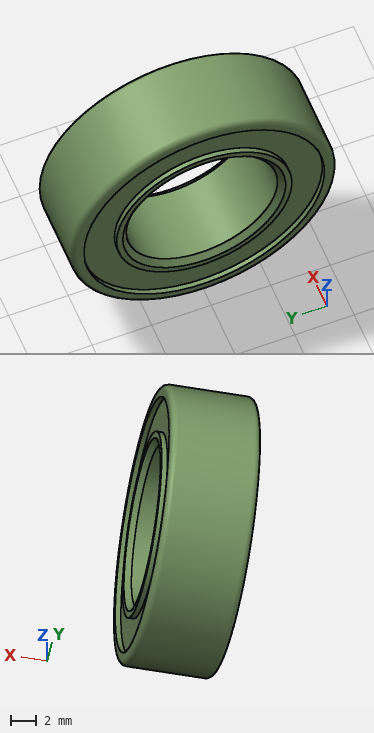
import cadquery as cq

outer_diameter = 22.23
bore_diameter = 12.7
width = 7.14
outer_fillet = 0.5
bore_chamfer = 0.5

recess_outer_diameter = 20.18
recess_inner_diameter = 14.72
recess_depth = 0.45


def ring(outside, inside, start_x, length):
    """Annular solid along +X, starting at start_x."""
    return (
        cq.Workplane("YZ", origin=(start_x, 0, 0))
        .circle(outside / 2)
        .circle(inside / 2)
        .extrude(length)
    )


body = ring(outer_diameter, bore_diameter, -width / 2, width)
outer_rims = cq.selectors.RadiusNthSelector(-1)
bore_rims = cq.selectors.RadiusNthSelector(0)
body = body.faces("<X or >X").edges(outer_rims).fillet(outer_fillet)
body = body.faces("<X or >X").edges(bore_rims).chamfer(bore_chamfer)

for recess_start in (-width / 2, width / 2 - recess_depth):
    recess = ring(recess_outer_diameter, recess_inner_diameter, recess_start, recess_depth)
    body = body.cut(recess)

result = body